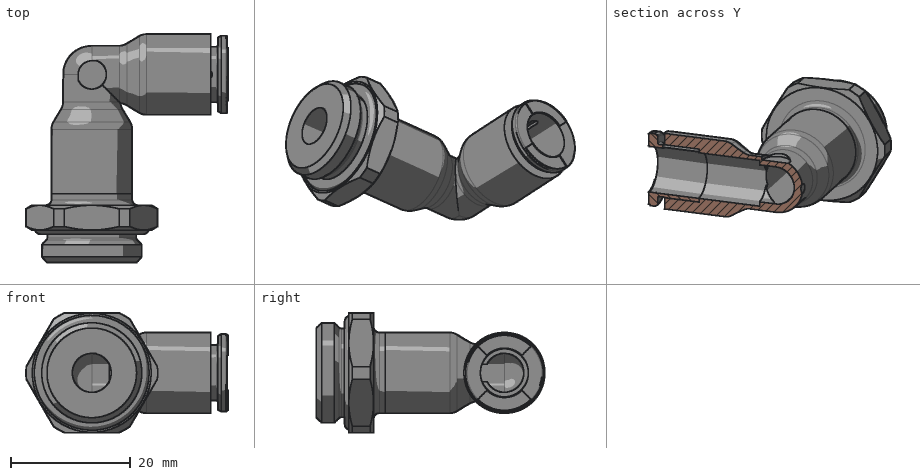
import cadquery as cq
import math


LEG_LENGTH = 19.88
PIPE_RADIUS = 4.8
SLEEVE_RADIUS = 6.75
FLARE_START = 4.58
FLARE_BLEND_RADIUS = 2.35
FLARE_ANGLE = math.radians(31)
BORE_RADIUS = 3.25
TUBE_RADIUS = 4.0
TUBE_STOP = 2.9
BADGE_RADIUS = 2.45
BADGE_FLOOR_HEIGHT = 4.25
DIMPLE_MOUTH_RADIUS = 0.95
DIMPLE_DEPTH = 0.3

COLLAR_LENGTH = 1.0
COLLAR_FILLET = 0.9
HEX_ACROSS_FLATS = 20.0
HEX_CORNER_RADIUS = 11.0
HEX_FACE_RADIUS = 9.9
HEX_CHAMFER_ANGLE = math.radians(30)
HEX_START = LEG_LENGTH + COLLAR_LENGTH + COLLAR_FILLET
HEX_THICKNESS = 4.2
HEX_END = HEX_START + HEX_THICKNESS
NECK_RADIUS = 7.45
NECK_END = 27.25
NECK_FILLET = 0.5
THREAD_RADIUS = 8.35
OVERALL_LENGTH = 38.15
STUD_END = OVERALL_LENGTH - SLEEVE_RADIUS
STUD_END_RADIUS = 7.48
STUD_END_CHAMFER = 0.95

RING_SECTION_RADIUS = 1.05
RING_RADIUS = NECK_RADIUS + RING_SECTION_RADIUS
RING_PROTRUSION = 0.7
RING_CENTRE = HEX_END + RING_PROTRUSION - RING_SECTION_RADIUS
GROOVE_RADIUS = RING_RADIUS + RING_SECTION_RADIUS

COLLET_RADIUS = 4.65
COLLET_TAIL = 13.75
NECK_BLEND = 0.25
FLANGE_START = 21.02
FLANGE_RADIUS = 6.5
FLANGE_CONE_END = 21.6
FLANGE_CONE_ANGLE = math.radians(30)
FLANGE_BACK_ROUND = 0.25
FLANGE_END = 22.6
FLANGE_ROUND = 0.23
SLOT_WIDTH = 1.15
SLOT_END = LEG_LENGTH + 0.23
PAD_HEIGHT = 0.15
PAD_INNER_RADIUS = 4.12
PAD_OUTER_RADIUS = FLANGE_RADIUS - FLANGE_ROUND
PAD_HALF_ANGLE = math.radians(45)


def turned(profile):
    """Revolve a closed XY profile about the X axis."""
    return profile.close().revolve(360, (0, 0, 0), (1, 0, 0))


def cylinder(start, end, radius):
    """Cylinder on the X axis."""
    return cq.Workplane("YZ", origin=(start, 0, 0)).circle(radius).extrude(end - start)


def along_stem(body):
    """Swing a body from the +X axis onto the -Y axis."""
    return body.rotate((0, 0, 0), (0, 0, 1), -90)


def elbow_leg():
    """Plain pipe that flares through a blended cone to the wider sleeve."""
    blend_length = FLARE_BLEND_RADIUS * math.sin(FLARE_ANGLE)
    blend_rise = FLARE_BLEND_RADIUS * (1 - math.cos(FLARE_ANGLE))
    half_blend_length = FLARE_BLEND_RADIUS * math.sin(FLARE_ANGLE / 2)
    half_blend_rise = FLARE_BLEND_RADIUS * (1 - math.cos(FLARE_ANGLE / 2))
    cone_rise = SLEEVE_RADIUS - PIPE_RADIUS - 2 * blend_rise
    cone_start = FLARE_START + blend_length
    cone_end = cone_start + cone_rise / math.tan(FLARE_ANGLE)
    flare_end = cone_end + blend_length
    return turned(
        cq.Workplane("XY")
        .lineTo(0, PIPE_RADIUS)
        .lineTo(FLARE_START, PIPE_RADIUS)
        .threePointArc(
            (FLARE_START + half_blend_length, PIPE_RADIUS + half_blend_rise),
            (cone_start, PIPE_RADIUS + blend_rise),
        )
        .lineTo(cone_end, SLEEVE_RADIUS - blend_rise)
        .threePointArc(
            (flare_end - half_blend_length, SLEEVE_RADIUS - half_blend_rise),
            (flare_end, SLEEVE_RADIUS),
        )
        .lineTo(LEG_LENGTH, SLEEVE_RADIUS)
        .lineTo(LEG_LENGTH, 0)
    )


def make_elbow():
    leg = elbow_leg()
    outside = leg.union(along_stem(leg)).union(cq.Workplane("XY").sphere(PIPE_RADIUS))

    bore = cylinder(0, LEG_LENGTH, BORE_RADIUS)
    elbow = outside.cut(cq.Workplane("XY").sphere(BORE_RADIUS))
    elbow = elbow.cut(bore).cut(along_stem(bore))
    elbow = elbow.cut(cylinder(TUBE_STOP, LEG_LENGTH, TUBE_RADIUS))
    elbow = elbow.cut(cylinder(COLLET_TAIL, LEG_LENGTH, COLLET_RADIUS))

    badge_recess = (
        cq.Workplane("XY", origin=(0, 0, BADGE_FLOOR_HEIGHT))
        .circle(BADGE_RADIUS)
        .extrude(PIPE_RADIUS)
    )
    dimple_radius = (DIMPLE_MOUTH_RADIUS**2 + DIMPLE_DEPTH**2) / (2 * DIMPLE_DEPTH)
    dimple_centre = -PIPE_RADIUS + DIMPLE_DEPTH - dimple_radius
    gate_dimple = cq.Workplane("XY", origin=(dimple_centre, 0, 0)).sphere(dimple_radius)
    return elbow.cut(badge_recess).cut(gate_dimple)


def hexagon():
    """Hexagon with two flats facing up and down, corners turned down and both faces chamfered."""
    chamfer_length = (HEX_CORNER_RADIUS - HEX_FACE_RADIUS) * math.tan(HEX_CHAMFER_ANGLE)
    prism = (
        cq.Workplane("YZ", origin=(HEX_START, 0, 0))
        .polygon(6, HEX_ACROSS_FLATS, circumscribed=True)
        .extrude(HEX_THICKNESS)
        .rotate((0, 0, 0), (1, 0, 0), 90)
    )
    blank = turned(
        cq.Workplane("XY")
        .moveTo(HEX_START, 0)
        .lineTo(HEX_START, HEX_FACE_RADIUS)
        .lineTo(HEX_START + chamfer_length, HEX_CORNER_RADIUS)
        .lineTo(HEX_END - chamfer_length, HEX_CORNER_RADIUS)
        .lineTo(HEX_END, HEX_FACE_RADIUS)
        .lineTo(HEX_END, 0)
    )
    return prism.intersect(blank)


def stud_collar():
    """Short sleeve that continues the elbow and fillets out onto the hexagon."""
    fillet_start = LEG_LENGTH + COLLAR_LENGTH
    fillet_middle = COLLAR_FILLET * math.sin(math.pi / 4)
    return turned(
        cq.Workplane("XY")
        .moveTo(LEG_LENGTH, 0)
        .lineTo(LEG_LENGTH, SLEEVE_RADIUS)
        .lineTo(fillet_start, SLEEVE_RADIUS)
        .threePointArc(
            (fillet_start + fillet_middle, SLEEVE_RADIUS + COLLAR_FILLET - fillet_middle),
            (HEX_START, SLEEVE_RADIUS + COLLAR_FILLET),
        )
        .lineTo(HEX_START, 0)
    )


def stud_thread():
    """Neck that blends into a 45 degree cone, then the plain thread cylinder and its end chamfer."""
    slope = math.pi / 4
    cone_start = NECK_END + NECK_FILLET * math.sin(slope)
    cone_start_radius = NECK_RADIUS + NECK_FILLET * (1 - math.cos(slope))
    blend_middle = (
        NECK_END + NECK_FILLET * math.sin(slope / 2),
        NECK_RADIUS + NECK_FILLET * (1 - math.cos(slope / 2)),
    )
    cone_end = cone_start + THREAD_RADIUS - cone_start_radius
    return turned(
        cq.Workplane("XY")
        .moveTo(HEX_START, 0)
        .lineTo(HEX_START, NECK_RADIUS)
        .lineTo(NECK_END, NECK_RADIUS)
        .threePointArc(blend_middle, (cone_start, cone_start_radius))
        .lineTo(cone_end, THREAD_RADIUS)
        .lineTo(STUD_END - STUD_END_CHAMFER, THREAD_RADIUS)
        .lineTo(STUD_END, STUD_END_RADIUS)
        .lineTo(STUD_END, 0)
    )


def make_stud():
    groove_start = RING_CENTRE - RING_SECTION_RADIUS
    groove = cylinder(groove_start, HEX_END, GROOVE_RADIUS)
    stud = hexagon().cut(groove).union(stud_collar()).union(stud_thread())
    stud = stud.cut(cylinder(LEG_LENGTH, STUD_END, BORE_RADIUS))
    return along_stem(stud)


def make_o_ring():
    section = cq.Workplane("XY").center(RING_CENTRE, RING_RADIUS).circle(RING_SECTION_RADIUS)
    ring = section.revolve(360, (-RING_CENTRE, -RING_RADIUS, 0), (0.4 - RING_CENTRE, -RING_RADIUS, 0))
    return along_stem(ring)


def collet_pads():
    """Two raised ring sectors on the collet face, centred on +Z and -Z."""
    ring = (
        cq.Workplane("YZ", origin=(FLANGE_END, 0, 0))
        .circle(PAD_OUTER_RADIUS)
        .circle(PAD_INNER_RADIUS)
        .extrude(PAD_HEIGHT)
    )
    reach = 2 * PAD_OUTER_RADIUS
    half_width = reach * math.tan(PAD_HALF_ANGLE)
    wedges = (
        cq.Workplane("YZ", origin=(FLANGE_END, 0, 0))
        .polyline([(0, 0), (half_width, reach), (-half_width, reach)])
        .close()
        .polyline([(0, 0), (half_width, -reach), (-half_width, -reach)])
        .close()
        .extrude(PAD_HEIGHT)
    )
    return ring.intersect(wedges)


def make_collet():
    """Tube sleeve with a flanged push face outside the elbow and a slit upper wall inside."""
    blend_middle = NECK_BLEND * math.sin(math.pi / 4)

    cone_start_x = FLANGE_START + FLANGE_BACK_ROUND * (1 - math.sin(FLANGE_CONE_ANGLE))
    cone_rise = (FLANGE_CONE_END - cone_start_x) * math.tan(FLANGE_CONE_ANGLE)
    cone_start = (cone_start_x, FLANGE_RADIUS - cone_rise)
    back_round_centre = (
        FLANGE_START + FLANGE_BACK_ROUND,
        cone_start[1] - FLANGE_BACK_ROUND * math.cos(FLANGE_CONE_ANGLE),
    )
    middle_angle = (math.pi / 2 + FLANGE_CONE_ANGLE) / 2
    back_round_middle = (
        back_round_centre[0] - FLANGE_BACK_ROUND * math.sin(middle_angle),
        back_round_centre[1] + FLANGE_BACK_ROUND * math.cos(middle_angle),
    )

    round_middle = FLANGE_ROUND * math.sin(math.pi / 4)
    round_start = FLANGE_END - FLANGE_ROUND
    body = turned(
        cq.Workplane("XY")
        .moveTo(COLLET_TAIL, TUBE_RADIUS)
        .lineTo(COLLET_TAIL, COLLET_RADIUS)
        .lineTo(FLANGE_START - NECK_BLEND, COLLET_RADIUS)
        .threePointArc(
            (FLANGE_START - NECK_BLEND + blend_middle, COLLET_RADIUS + NECK_BLEND - blend_middle),
            (FLANGE_START, COLLET_RADIUS + NECK_BLEND),
        )
        .lineTo(FLANGE_START, back_round_centre[1])
        .threePointArc(back_round_middle, cone_start)
        .lineTo(FLANGE_CONE_END, FLANGE_RADIUS)
        .lineTo(round_start, FLANGE_RADIUS)
        .threePointArc(
            (round_start + round_middle, FLANGE_RADIUS - FLANGE_ROUND + round_middle),
            (FLANGE_END, FLANGE_RADIUS - FLANGE_ROUND),
        )
        .lineTo(FLANGE_END, TUBE_RADIUS)
    )
    slot_centre = SLOT_END - SLOT_WIDTH / 2
    slot = (
        cq.Workplane("XY")
        .moveTo(COLLET_TAIL, -SLOT_WIDTH / 2)
        .lineTo(slot_centre, -SLOT_WIDTH / 2)
        .threePointArc((SLOT_END, 0), (slot_centre, SLOT_WIDTH / 2))
        .lineTo(COLLET_TAIL, SLOT_WIDTH / 2)
        .close()
        .extrude(FLANGE_RADIUS)
    )
    return body.union(collet_pads()).cut(slot)


elbow = make_elbow()
stud = make_stud()
o_ring = make_o_ring()
collet = make_collet()

result = cq.Compound.makeCompound([elbow.val(), stud.val(), o_ring.val(), collet.val()])